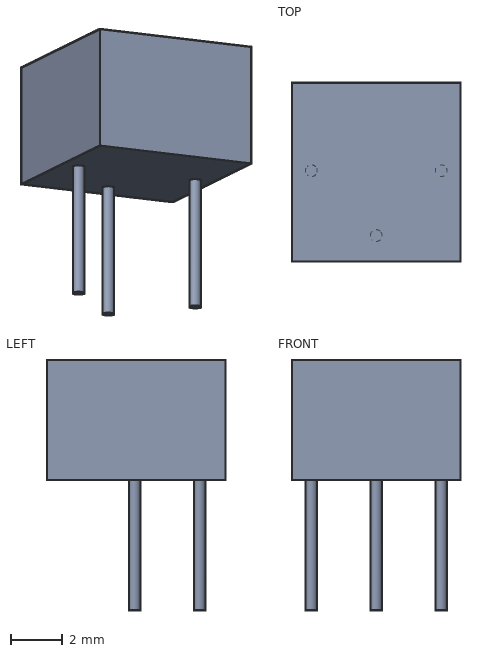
import cadquery as cq

total_height = 9.8
body_width = 6.6
body_depth = 7.0
body_height = 4.7

pin_diameter = 0.46
pin_pitch = 2.54
pin_length = total_height - body_height
rear_row_y = 0.06
front_row_y = rear_row_y - pin_pitch
pin_positions = [
    (-pin_pitch, rear_row_y),
    (0, front_row_y),
    (pin_pitch, rear_row_y),
]


def make_housing():
    """Plain rectangular housing with its underside at Z = 0."""
    return cq.Workplane("XY").box(body_width, body_depth, body_height, centered=(True, True, False))


def make_pin(x, y):
    """Round pin hanging down from the underside of the housing."""
    return cq.Workplane("XY").center(x, y).circle(pin_diameter / 2).extrude(-pin_length)


housing = make_housing()
pins = [make_pin(x, y) for x, y in pin_positions]

result = cq.Compound.makeCompound([housing.val(), *[pin.val() for pin in pins]])